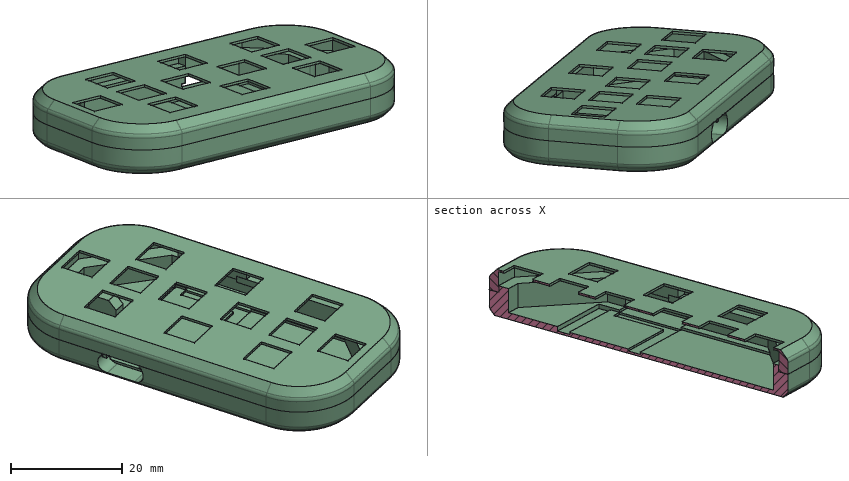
import cadquery as cq

WIDTH = 36.0
LENGTH = 66.2
HEIGHT = 9.2
CORNER_RADIUS = 11.5
SEAM_Z = 4.8
TOP_CHAMFER = 1.7
BOTTOM_CHAMFER = 1.2
EDGE_BLEND_RADIUS = 1.0
RIM_MARGIN = 0.05

FLOOR_Z = 1.4
ROOF_THICKNESS = 0.45
LID_CAVITY_WIDTH = 32.6
LID_CAVITY_LENGTH = 61.95
CAVITY_WIDTH = 28.65
CAVITY_FRONT_Y = -29.7
CAVITY_BACK_Y = 28.7
LIP_TOP_Z = 6.1
CAVITY_HALF_WIDTH = CAVITY_WIDTH / 2
LID_CAVITY_HALF_WIDTH = LID_CAVITY_WIDTH / 2

WINDOW_SIZE = 6.35
WINDOW_PITCH_X = 9.0
WINDOW_PITCH_Y = 10.1
WINDOW_ROW_Y = 16.55
INNER_WINDOW_Y = 6.4

BOARD_Y = 8.8
BED_Z = 0.9
BED_HALF_WIDTH = 12.6
GROOVE_WIDTH = 2.6
GROOVE_DEPTH = 0.4
GROOVE_OFFSET = 7.8
SIDE_GROOVE_X = 10.8
SLOT_WIDTH = 9.45
SLOT_RADIUS = 1.9
SLOT_CENTER_Z = 2.85
SLOT_TOP_Z = 4.3
NOTCH_WIDTH = 7.8
FAR_NOTCH_WIDTH = 10.1
FAR_TAB_Z = 5.4
RECESS_X = 17.15
RECESS_BACK_Y = 13.3
CLAMP_WIDTH = 14.3

PEN_INNER_X = -4.2
PEN_INNER_Y = 23.5
PEN_WALL = 2.45
PEN_FRONT_Y = 19.45
PEN_FLOOR_RISE = 0.3
PEN_BEVEL = 1.6


def box(x_min, x_max, y_min, y_max, z_min, z_max):
    """Axis-aligned box between two opposite corners."""
    size = (x_max - x_min, y_max - y_min, z_max - z_min)
    return cq.Workplane("XY").box(*size, centered=False).translate((x_min, y_min, z_min))


def rounded_slab(z_min, z_max):
    """Full-size case outline between two heights."""
    slab = cq.Workplane("XY").workplane(offset=z_min).rect(WIDTH, LENGTH).extrude(z_max - z_min)
    return slab.edges("|Z").fillet(CORNER_RADIUS)


def bevel(slab, face, chamfer):
    """Chamfer the outer rim of a slab and blend the chamfer into its side."""
    beveled = slab.faces(face).chamfer(chamfer)
    height = HEIGHT - chamfer if face == ">Z" else chamfer
    rim = cq.selectors.BoxSelector(
        (-WIDTH, -LENGTH, height - RIM_MARGIN), (WIDTH, LENGTH, height + RIM_MARGIN)
    )
    return beveled.edges(rim).fillet(EDGE_BLEND_RADIUS)


def octagon(half_width, y_min, y_max, z_min, z_max):
    """Rectangular prism with its four upright corners cut at 45 degrees."""
    prism = box(-half_width, half_width, y_min, y_max, z_min, z_max)
    return prism.edges("|Z").chamfer(CORNER_RADIUS)


def lid_cavity(z_max):
    """Room inside the lid from the seam up; also the outline of the housing lip."""
    half_length = LID_CAVITY_LENGTH / 2
    return octagon(LID_CAVITY_HALF_WIDTH, -half_length, half_length, SEAM_Z, z_max)


def housing_cavity():
    return octagon(CAVITY_HALF_WIDTH, CAVITY_FRONT_Y, CAVITY_BACK_Y, FLOOR_Z, LIP_TOP_Z)


def connector_notch(z_min, z_max):
    """Upright gap for the connector through the -X wall."""
    half = NOTCH_WIDTH / 2
    return box(-WIDTH / 2, -CAVITY_HALF_WIDTH, BOARD_Y - half, BOARD_Y + half, z_min, z_max)


def connector_slot():
    """Flat-topped oblong opening through the -X wall, narrower above its middle on the inside."""
    oblong = (
        cq.Workplane("YZ", origin=(-WIDTH / 2, BOARD_Y, SLOT_CENTER_Z))
        .slot2D(SLOT_WIDTH, 2 * SLOT_RADIUS)
        .extrude(WIDTH / 2 - CAVITY_HALF_WIDTH)
    )
    half = SLOT_WIDTH / 2
    span = (BOARD_Y - half, BOARD_Y + half)
    oblong = oblong.intersect(box(-WIDTH / 2, 0, *span, 0, SLOT_TOP_Z))
    inner_shoulder = box(-LID_CAVITY_HALF_WIDTH, 0, *span, SLOT_CENTER_Z, SLOT_TOP_Z)
    return oblong.cut(inner_shoulder).union(connector_notch(SLOT_CENTER_Z, LIP_TOP_Z))


def far_wall_block(width, z_min, z_max):
    """Block filling the lip thickness of the +X wall, opposite the connector."""
    half = width / 2
    y_span = (BOARD_Y - half, BOARD_Y + half)
    return box(CAVITY_HALF_WIDTH, LID_CAVITY_HALF_WIDTH, *y_span, z_min, z_max)


def bed_recess():
    """Lowered floor between the side ledges, with two cross grooves beside the board."""
    half = GROOVE_WIDTH / 2
    bed_back_y = BOARD_Y + GROOVE_OFFSET + half
    recess = octagon(CAVITY_HALF_WIDTH, CAVITY_FRONT_Y, CAVITY_BACK_Y, BED_Z, FLOOR_Z).intersect(
        box(-BED_HALF_WIDTH, BED_HALF_WIDTH, CAVITY_FRONT_Y, bed_back_y, BED_Z, FLOOR_Z)
    )
    for y in (BOARD_Y - GROOVE_OFFSET, BOARD_Y + GROOVE_OFFSET):
        groove = box(
            -BED_HALF_WIDTH, BED_HALF_WIDTH, y - half, y + half, BED_Z - GROOVE_DEPTH, FLOOR_Z
        )
        recess = recess.union(groove)
    return recess


def side_recess():
    """Groove along the +X end of the board, opening into a recess inside the wall."""
    front_y = BOARD_Y - GROOVE_OFFSET - GROOVE_WIDTH / 2
    groove = box(SIDE_GROOVE_X, BED_HALF_WIDTH, front_y, RECESS_BACK_Y, BED_Z - GROOVE_DEPTH, FLOOR_Z)
    return groove.union(box(BED_HALF_WIDTH, RECESS_X, front_y, RECESS_BACK_Y, BED_Z, SEAM_Z))


def corner_pen():
    """Floor pad in the (-X, +Y) corner with a wall along its +X and +Y sides."""
    outer_x = PEN_INNER_X + PEN_WALL
    outer_y = PEN_INNER_Y + PEN_WALL
    left = -CAVITY_HALF_WIDTH
    wall_front_y = PEN_FRONT_Y - PEN_BEVEL
    block = box(left, outer_x, wall_front_y, outer_y, FLOOR_Z, LIP_TOP_Z)
    block = block.edges("|Z and >X and >Y").fillet(PEN_WALL)
    block = block.edges("<Y and >Z").chamfer(PEN_BEVEL)
    room = box(left, PEN_INNER_X, wall_front_y, PEN_INNER_Y, FLOOR_Z, LIP_TOP_Z)
    pad = box(left, PEN_INNER_X, PEN_FRONT_Y, PEN_INNER_Y, FLOOR_Z, FLOOR_Z + PEN_FLOOR_RISE)
    return block.cut(room).union(pad).intersect(housing_cavity())


def window_centers():
    rows = [(0, WINDOW_ROW_Y + WINDOW_PITCH_Y), (0, INNER_WINDOW_Y)]
    rows += [(column * WINDOW_PITCH_X, WINDOW_ROW_Y) for column in (-1, 0, 1)]
    mirrored = [(x, -y) for x, y in rows]
    return rows + mirrored + [(-WINDOW_PITCH_X, 0), (WINDOW_PITCH_X, 0)]


def make_housing():
    body = bevel(rounded_slab(0, SEAM_Z), "<Z", BOTTOM_CHAMFER)
    body = body.union(lid_cavity(LIP_TOP_Z))
    body = body.cut(housing_cavity()).cut(bed_recess()).cut(side_recess())
    body = body.union(corner_pen()).cut(connector_slot())
    return body.cut(far_wall_block(FAR_NOTCH_WIDTH, SEAM_Z, LIP_TOP_Z))


def make_lid():
    roof_z = HEIGHT - ROOF_THICKNESS
    body = bevel(rounded_slab(SEAM_Z, HEIGHT), ">Z", TOP_CHAMFER)
    body = body.cut(lid_cavity(roof_z))
    connector_tab = connector_notch(SLOT_TOP_Z, roof_z).intersect(
        box(-LID_CAVITY_HALF_WIDTH, 0, 0, LENGTH, 0, HEIGHT)
    )
    body = body.union(connector_tab)
    body = body.union(far_wall_block(FAR_NOTCH_WIDTH, FAR_TAB_Z, roof_z))
    body = body.union(far_wall_block(CLAMP_WIDTH, LIP_TOP_Z, roof_z))
    windows = (
        cq.Workplane("XY")
        .workplane(offset=roof_z)
        .pushPoints(window_centers())
        .rect(WINDOW_SIZE, WINDOW_SIZE)
        .extrude(ROOF_THICKNESS)
    )
    return body.cut(windows)


housing = make_housing()
lid = make_lid()
result = cq.Compound.makeCompound([housing.solids().val(), lid.solids().val()])